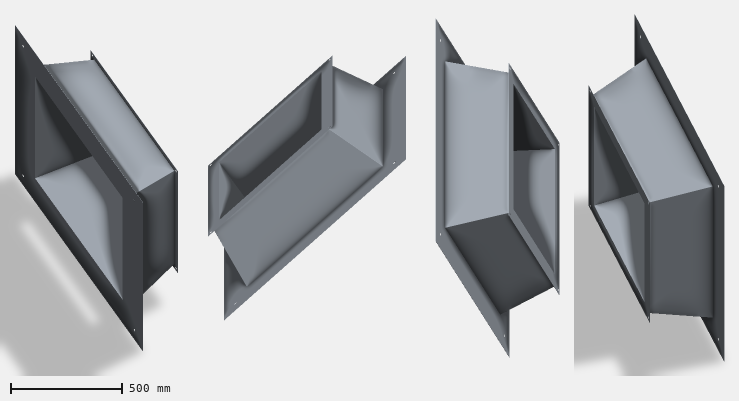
import cadquery as cq

plate_side = 1140.0
depth = 290.0
sheet = 1.0
front_opening = 780.0
rear_opening = 641.0
lining_wall = 35.0
plate_hole_pitch = 992.0
plate_hole_diameter = 14.0
flange_side = 780.0
flange_hole_pitch = 743.0
flange_hole_diameter = 13.0

lining_front = front_opening + 2 * lining_wall
lining_rear = rear_opening + 2 * lining_wall


def plane_at(y):
    """Sketch plane across the axis at the given Y, with its normal toward +Y."""
    return cq.Workplane(cq.Plane(origin=(0, y, 0), xDir=(1, 0, 0), normal=(0, 1, 0)))


def square_frustum(front_side, rear_side):
    """Solid square taper over the full depth."""
    return (
        plane_at(0).rect(front_side, front_side)
        .workplane(offset=depth).rect(rear_side, rear_side)
        .loft(ruled=True)
    )


def square_sheet(y, side, hole_pitch, hole_diameter):
    """Thin square sheet with a hole at each corner, its front face at y."""
    sheet_body = plane_at(y).rect(side, side).extrude(sheet)
    holes = (
        plane_at(y).rect(hole_pitch, hole_pitch, forConstruction=True).vertices()
        .circle(hole_diameter / 2).extrude(sheet)
    )
    return sheet_body.cut(holes)


lining_envelope = square_frustum(lining_front, lining_rear)


def make_casing():
    """Sheet-metal casing: front plate, tapered skin with bent corners, and rear flange."""
    plate = square_sheet(0, plate_side, plate_hole_pitch, plate_hole_diameter)
    flange = square_sheet(depth - sheet, flange_side, flange_hole_pitch, flange_hole_diameter)
    skin = square_frustum(lining_front + 2 * sheet, lining_rear + 2 * sheet)
    slanted_edges = "not(#Y or |X or |Z)"
    skin = skin.edges(slanted_edges).fillet(sheet)
    return skin.union(plate).union(flange).cut(lining_envelope)


def make_lining():
    """Thick tapered lining that fills the casing and leaves the square air passage open."""
    return lining_envelope.cut(square_frustum(front_opening, rear_opening))


casing = make_casing()
lining = make_lining()

result = cq.Compound.makeCompound([casing.val(), lining.val()])